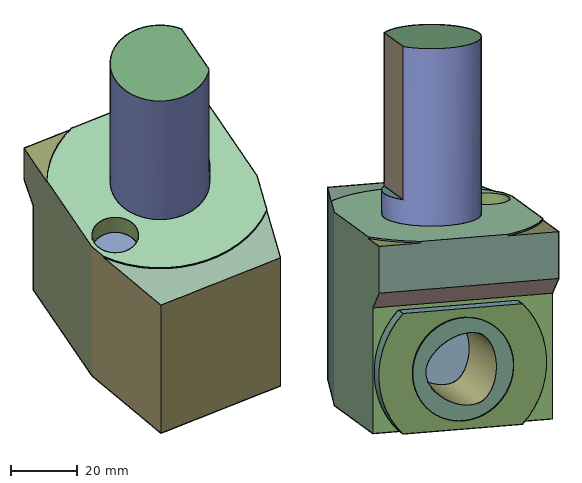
import math

import cadquery as cq


SHANK_DIAMETER = 30.0
SHANK_LENGTH = 55.0
SHANK_FLAT_Y = 12.0
SHANK_FLAT_START_Z = 7.5

BODY_LEFT_X = -31.0
BODY_RIGHT_X = 43.0
BODY_FRONT_Y = -30.0
BODY_BACK_Y = 27.0
BODY_BOTTOM_Z = -60.0
FRONT_TAPER_START_X = 13.3
BACK_TAPER_START_X = 11.35
TAPER_ANGLE = 15.0

SEAT_DIAMETER = 68.0
SEAT_HEIGHT = 0.5

STEP_DEPTH = 6.0
LIP_BOTTOM_Z = -15.0

PIN_HOLE_DIAMETER = 14.0
PIN_HOLE_RADIUS_FROM_AXIS = 25.0
PIN_HOLE_ANGLE = -60.0
PIN_HOLE_DEPTH = 7.0

FLANGE_CENTRE_Z = -41.0
FLANGE_DIAMETER = 53.2
FLANGE_HEIGHT = 37.4
FLANGE_FACE_X = -29.5
RING_DIAMETER = 32.0
RING_FACE_X = -30.0

SOCKET_DIAMETER = 22.4
SOCKET_LOBE = 0.7
SOCKET_DEPTH = 24.0
SOCKET_TAPER = 1 / 20
SOCKET_POINTS = 48


def make_body():
    taper_slope = math.tan(math.radians(TAPER_ANGLE))
    front_end_y = BODY_FRONT_Y + (BODY_RIGHT_X - FRONT_TAPER_START_X) * taper_slope
    back_end_y = BODY_BACK_Y - (BODY_RIGHT_X - BACK_TAPER_START_X) * taper_slope
    outline = [
        (BODY_LEFT_X, BODY_FRONT_Y),
        (FRONT_TAPER_START_X, BODY_FRONT_Y),
        (BODY_RIGHT_X, front_end_y),
        (BODY_RIGHT_X, back_end_y),
        (BACK_TAPER_START_X, BODY_BACK_Y),
        (BODY_LEFT_X, BODY_BACK_Y),
    ]
    block = cq.Workplane("XY").polyline(outline).close().extrude(BODY_BOTTOM_Z)

    seat = cq.Workplane("XY").circle(SEAT_DIAMETER / 2).extrude(-SEAT_HEIGHT)
    body_length = BODY_RIGHT_X - BODY_LEFT_X
    corner_layer = cq.Workplane("XY").rect(2 * body_length, 2 * body_length).extrude(-SEAT_HEIGHT)
    return block.cut(corner_layer.cut(seat))


def make_step():
    """Material removed below the lip, with a 45 degree slope at its upper end."""
    step_x = BODY_LEFT_X + STEP_DEPTH
    profile = [
        (BODY_LEFT_X, LIP_BOTTOM_Z),
        (step_x, LIP_BOTTOM_Z - STEP_DEPTH),
        (step_x, BODY_BOTTOM_Z),
        (BODY_LEFT_X, BODY_BOTTOM_Z),
    ]
    plane = cq.Workplane("XZ", origin=(0, BODY_BACK_Y, 0))
    return plane.polyline(profile).close().extrude(BODY_BACK_Y - BODY_FRONT_Y)


def make_shank():
    radius = SHANK_DIAMETER / 2
    shank = cq.Workplane("XY").circle(radius).extrude(SHANK_LENGTH)
    flat = cq.Workplane("XY").box(
        SHANK_DIAMETER,
        radius - SHANK_FLAT_Y,
        SHANK_LENGTH - SHANK_FLAT_START_Z,
        centered=(True, False, False),
    )
    return shank.cut(flat.translate((0, SHANK_FLAT_Y, SHANK_FLAT_START_Z)))


def make_pin_hole():
    angle = math.radians(PIN_HOLE_ANGLE)
    x = PIN_HOLE_RADIUS_FROM_AXIS * math.cos(angle)
    y = PIN_HOLE_RADIUS_FROM_AXIS * math.sin(angle)
    return cq.Workplane("XY").center(x, y).circle(PIN_HOLE_DIAMETER / 2).extrude(-PIN_HOLE_DEPTH)


def flange_plane(x):
    """Plane facing +X on the socket axis; its local axes run along +Y and +Z."""
    return cq.Workplane("YZ", origin=(x, 0, FLANGE_CENTRE_Z))


def make_flange():
    thickness = BODY_LEFT_X + STEP_DEPTH - FLANGE_FACE_X
    disc = flange_plane(FLANGE_FACE_X).circle(FLANGE_DIAMETER / 2).extrude(thickness)
    band = flange_plane(FLANGE_FACE_X).rect(FLANGE_DIAMETER, FLANGE_HEIGHT).extrude(thickness)
    ring = flange_plane(RING_FACE_X).circle(RING_DIAMETER / 2).extrude(FLANGE_FACE_X - RING_FACE_X)
    return disc.intersect(band).union(ring)


def socket_wire(plane, diameter):
    """Closed three-lobed curve on the given plane, with one lobe toward +Y."""

    def point(angle):
        y = diameter / 2 * math.cos(angle) + SOCKET_LOBE * (2 * math.cos(2 * angle) - math.cos(4 * angle))
        z = diameter / 2 * math.sin(angle) - SOCKET_LOBE * (2 * math.sin(2 * angle) + math.sin(4 * angle))
        return plane.toWorldCoords((y, z))

    step = 2 * math.pi / SOCKET_POINTS
    points = [point(i * step) for i in range(SOCKET_POINTS)]
    return cq.Wire.assembleEdges([cq.Edge.makeSpline(points, periodic=True)])


def make_socket():
    floor_diameter = SOCKET_DIAMETER - SOCKET_TAPER * SOCKET_DEPTH
    mouth = socket_wire(flange_plane(RING_FACE_X).plane, SOCKET_DIAMETER)
    floor = socket_wire(flange_plane(RING_FACE_X + SOCKET_DEPTH).plane, floor_diameter)
    return cq.Workplane(cq.Solid.makeLoft([mouth, floor], True))


result = (
    make_body()
    .cut(make_step())
    .union(make_shank())
    .union(make_flange())
    .cut(make_pin_hole())
    .cut(make_socket())
)